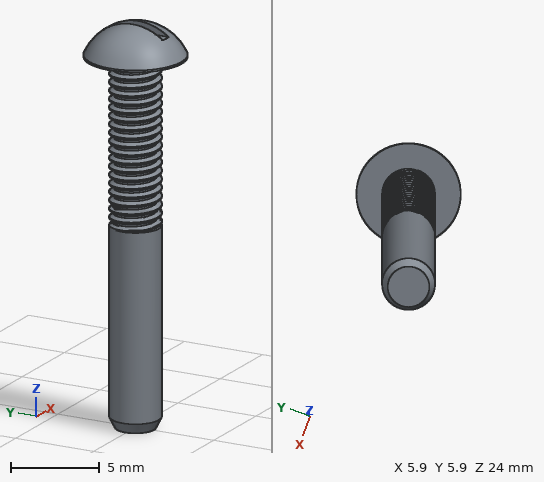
import cadquery as cq
import math

total_length = 24.0
head_diameter = 5.9
head_height = 2.0
rim_height = 0.12
shank_diameter = 3.0

slot_width = 0.67
slot_depth = 0.65

thread_length = 10.0
thread_turns = 20
pitch = thread_length / thread_turns
thread_root_diameter = 2.42
groove_mouth_width = 0.43
groove_floor_width = 0.12
groove_end_drop = 0.2

tip_height = 0.65
tip_diameter = 2.35

head_radius = head_diameter / 2
shank_radius = shank_diameter / 2
thread_root_radius = thread_root_diameter / 2
head_bottom = total_length - head_height
thread_bottom = head_bottom - thread_length


def make_body():
    """Revolve the tapered shank and the domed head as one solid."""
    rim_top = head_bottom + rim_height
    lip_radius = slot_width / 2
    lip_rise = total_length - rim_top
    dome_centre = rim_top + (lip_rise**2 + lip_radius**2 - head_radius**2) / (2 * lip_rise)
    dome_radius = math.hypot(lip_radius, total_length - dome_centre)
    mid_radius = head_radius / 2
    mid_height = dome_centre + math.sqrt(dome_radius**2 - mid_radius**2)
    return (
        cq.Workplane("XZ")
        .lineTo(tip_diameter / 2, 0)
        .lineTo(shank_radius, tip_height)
        .lineTo(shank_radius, head_bottom)
        .lineTo(head_radius, head_bottom)
        .lineTo(head_radius, rim_top)
        .threePointArc((mid_radius, mid_height), (0, dome_centre + dome_radius))
        .close()
        .revolve(360, (0, 0), (0, 1))
    )


def make_slot():
    """Straight slot along Y, open through the whole dome."""
    return (
        cq.Workplane("XY", origin=(0, 0, total_length - slot_depth))
        .rect(slot_width, head_diameter)
        .extrude(head_height)
    )


def make_thread_groove():
    """Right-hand helical groove that ends on the -X side and stays in the thread zone."""
    groove_top = head_bottom - groove_end_drop
    groove_length = (thread_turns + 1) * pitch
    groove_bottom = groove_top - groove_length

    overcut = 0.02
    groove_depth = shank_radius - thread_root_radius
    flank_slope = (groove_mouth_width - groove_floor_width) / 2 / groove_depth
    floor_half = groove_floor_width / 2
    outer_half = groove_mouth_width / 2 + overcut * flank_slope
    outer_radius = shank_radius + overcut

    helix = cq.Wire.makeHelix(pitch, groove_length, thread_root_radius)
    groove = (
        cq.Workplane("XZ")
        .moveTo(thread_root_radius, -floor_half)
        .lineTo(outer_radius, -outer_half)
        .lineTo(outer_radius, outer_half)
        .lineTo(thread_root_radius, floor_half)
        .close()
        .sweep(cq.Workplane(obj=helix), isFrenet=True)
        .rotate((0, 0, 0), (0, 0, 1), 180)
        .translate((0, 0, groove_bottom))
    )
    thread_zone = (
        cq.Workplane("XY", origin=(0, 0, thread_bottom))
        .circle(head_radius)
        .extrude(thread_length)
    )
    return groove.intersect(thread_zone)


result = make_body().cut(make_slot()).cut(make_thread_groove())